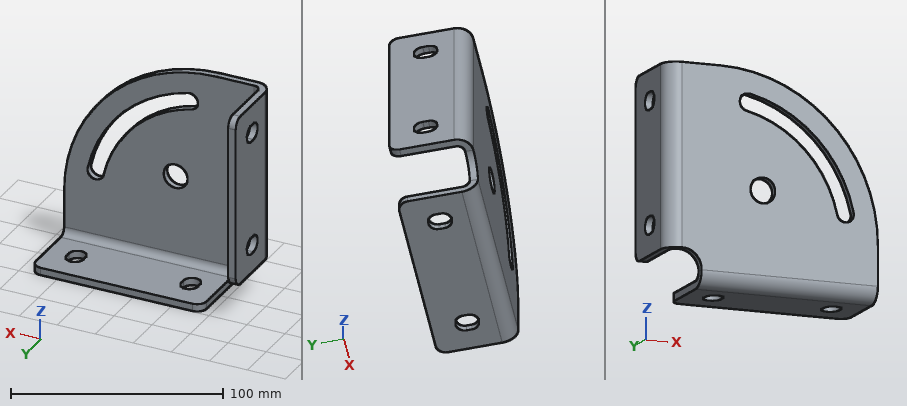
import cadquery as cq
import math

side = 107.6
depth = 39.0
thickness = 4.0
bend_outer = 7.7
bend_inner = bend_outer - thickness

plate_radius = 80.1
arc_center = side - plate_radius
relief_radius = 10.0
flange_start = bend_outer + relief_radius
pivot_position = 49.0
pivot_diameter = 12.5
guide_radius = 65.0
guide_width = 8.5
guide_end_angle = 12.4

flange_corner = 5.0
slot_length = 11.3
slot_width = 8.6
slot_depth_position = 21.4
slot_positions = (32.4, 92.6)


def polar(radius, degrees):
    """Point on a circle about the centre of the large plate corner."""
    angle = math.radians(degrees)
    return (arc_center + radius * math.cos(angle), arc_center + radius * math.sin(angle))


def make_flat_plate():
    """Flat face between the bends, with its front at Y = 0."""
    return (
        cq.Workplane("XZ")
        .moveTo(bend_outer, flange_start)
        .lineTo(bend_outer, side)
        .lineTo(arc_center, side)
        .threePointArc(polar(plate_radius, 45), (side, arc_center))
        .lineTo(side, bend_outer)
        .lineTo(flange_start, bend_outer)
        .radiusArc((bend_outer, flange_start), -relief_radius)
        .close()
        .extrude(-thickness)
    )


def make_side_flange():
    """Left flange and its bend, running up along Z."""
    outer_mid = bend_outer - bend_outer * math.sqrt(0.5)
    inner_mid = bend_outer - bend_inner * math.sqrt(0.5)
    flange = (
        cq.Workplane("XY", origin=(0, 0, flange_start))
        .moveTo(bend_outer, 0)
        .threePointArc((outer_mid, outer_mid), (0, bend_outer))
        .lineTo(0, depth)
        .lineTo(thickness, depth)
        .lineTo(thickness, bend_outer)
        .threePointArc((inner_mid, inner_mid), (bend_outer, thickness))
        .close()
        .extrude(side - flange_start)
        .faces(">Y")
        .edges("|X")
        .fillet(flange_corner)
    )
    slots = (
        cq.Workplane("YZ")
        .pushPoints([(slot_depth_position, z) for z in slot_positions])
        .slot2D(slot_length, slot_width)
        .extrude(thickness)
    )
    return flange.cut(slots)


def swap_x_and_z(body):
    """Mirror a body about the plane X = Z."""
    return body.mirror("YZ").rotate((0, 0, 0), (0, 1, 0), 90)


def make_guide_slot():
    """Curved slot with round ends, concentric with the large plate corner."""
    half_width = guide_width / 2
    inner = guide_radius - half_width
    outer = guide_radius + half_width
    start = guide_end_angle
    end = 90 - guide_end_angle
    return (
        cq.Workplane("XZ")
        .moveTo(*polar(inner, start))
        .threePointArc(polar(inner, 45), polar(inner, end))
        .radiusArc(polar(outer, end), half_width)
        .threePointArc(polar(outer, 45), polar(outer, start))
        .radiusArc(polar(inner, start), half_width)
        .close()
        .extrude(-thickness)
    )


pivot_hole = (
    cq.Workplane("XZ")
    .center(pivot_position, pivot_position)
    .circle(pivot_diameter / 2)
    .extrude(-thickness)
)

side_flange = make_side_flange()
bottom_flange = swap_x_and_z(side_flange)
face_plate = make_flat_plate().cut(pivot_hole).cut(make_guide_slot())
result = face_plate.union(side_flange).union(bottom_flange)